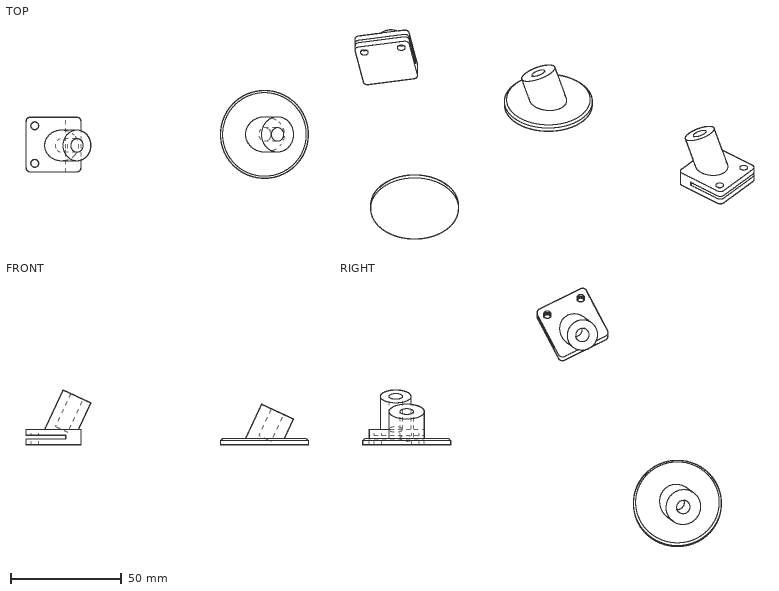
import cadquery as cq
import math

tilt = 25.0
bore_diameter = 6.1

block_side = 25.0
block_height = 7.0
block_corner_radius = 2.0
slot_height = 1.5
slot_depth = 17.9
screw_hole_diameter = 3.5
screw_hole_inset = 4.0
block_post_diameter = 14.0
block_post_length = 16.5
block_post_x = 16.1
block_post_y = -0.4

overall_length = 128.0
flange_diameter = 40.0
flange_thickness = 3.0
flange_edge_chamfer = 1.0
flange_x = overall_length - flange_diameter / 2
flange_y = 4.6
flange_post_diameter = 16.0
flange_post_length = 13.5
flange_post_shift = 0.3


def tilted_cylinder(top_of_base, diameter, length, buried_length=0.0):
    """Cylinder along the tilted axis, starting buried_length below a point on the base's top face."""
    axis = cq.Vector(math.sin(math.radians(tilt)), 0, math.cos(math.radians(tilt)))
    start = cq.Vector(*top_of_base) - axis * buried_length
    return cq.Workplane(cq.Solid.makeCylinder(diameter / 2, length + buried_length, start, axis))


def add_bored_post(base, top_of_base, diameter, length):
    """Join a tilted post to a base and bore it along its full length."""
    buried_length = diameter / 2 * math.tan(math.radians(tilt))
    post = tilted_cylinder(top_of_base, diameter, length, buried_length)
    trim_size = 2 * (diameter + length + buried_length)
    above_base = (
        cq.Workplane("XY", origin=top_of_base)
        .box(trim_size, trim_size, trim_size, centered=(True, True, False))
    )
    bore = tilted_cylinder(top_of_base, bore_diameter, length)
    return base.union(post.intersect(above_base)).cut(bore)


def make_clamp_block():
    block = (
        cq.Workplane("XY")
        .box(block_side, block_side, block_height, centered=(False, True, False))
        .edges("|Z")
        .fillet(block_corner_radius)
    )
    block = add_bored_post(
        block, (block_post_x, block_post_y, block_height), block_post_diameter, block_post_length
    )

    slot = (
        cq.Workplane("XY", origin=(0, 0, (block_height - slot_height) / 2))
        .box(slot_depth, block_side, slot_height, centered=(False, True, False))
    )
    block = block.cut(slot)

    hole_y = block_side / 2 - screw_hole_inset
    screw_holes = (
        cq.Workplane("XY")
        .pushPoints([(screw_hole_inset, -hole_y), (screw_hole_inset, hole_y)])
        .circle(screw_hole_diameter / 2)
        .extrude(block_height)
    )
    return block.cut(screw_holes)


def make_flange():
    flange = (
        cq.Workplane("XY", origin=(flange_x, flange_y, 0))
        .circle(flange_diameter / 2)
        .extrude(flange_thickness)
        .faces(">Z")
        .edges()
        .chamfer(flange_edge_chamfer)
    )
    return add_bored_post(
        flange,
        (flange_x + flange_post_shift, flange_y, flange_thickness),
        flange_post_diameter,
        flange_post_length,
    )


clamp_block = make_clamp_block()
flange = make_flange()

result = cq.Compound.makeCompound([clamp_block.val(), flange.val()])